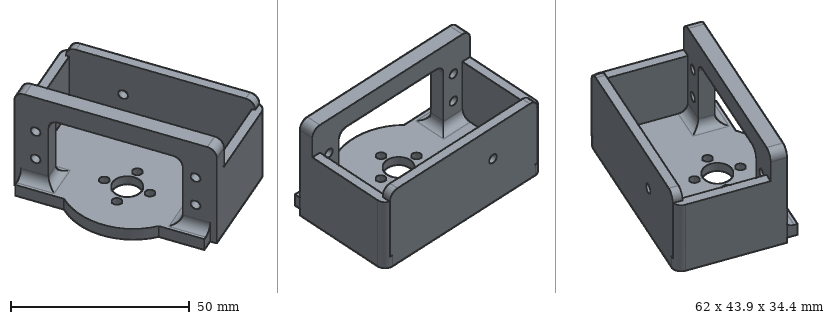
import cadquery as cq
import math

width = 62.0
depth = 34.0
wall = 3.0
floor_thickness = 4.0
side_height = 24.3
corner_radius = 3.0
inner_width = width - 2 * wall

frame_thickness = 5.0
frame_height = 34.4
window_width = 41.1
window_top = 27.6
screw_x = 24.5
screw_heights = (11.95, 21.95)

back_height = 27.5
back_tab_width = 58.0
back_hole_x = -11.5
back_hole_z = 16.0

lip_width = back_tab_width
lip_reach = 4.0
nose_reach = 9.85
nose_x = 0.5
nose_half_chord = 14.5

hub_y = 8.0
hub_diameter = 9.0
bolt_circle_radius = 7.0
recess_diameter = 21.0
recess_depth = 1.0
small_hole_diameter = 3.0


def box(x_min, x_max, y_min, y_max, z_min, z_max):
    size = (x_max - x_min, y_max - y_min, z_max - z_min)
    return cq.Workplane("XY").box(*size, centered=False).translate((x_min, y_min, z_min))


def centered_box(x_size, y_min, y_max, z_min, z_max):
    return box(-x_size / 2, x_size / 2, y_min, y_max, z_min, z_max)


def hole_along_y(x, z, y_min, y_max):
    hole = cq.Workplane("XZ").center(x, z).circle(small_hole_diameter / 2).extrude(y_min - y_max)
    return hole.translate((0, y_min, 0))


def flared_profile(plane, low, high):
    """Foot cross-section that flares outward to the floor on both sides."""
    r = corner_radius
    diagonal = r * (1 - math.sqrt(0.5))
    base = floor_thickness
    return (
        cq.Workplane(plane)
        .moveTo(low - r, 0)
        .lineTo(low - r, base)
        .threePointArc((low - diagonal, base + diagonal), (low, base + r))
        .lineTo(high, base + r)
        .threePointArc((high + diagonal, base + diagonal), (high + r, base))
        .lineTo(high + r, 0)
        .close()
    )


def make_tray():
    tray = centered_box(width, 0, depth, 0, side_height).edges("|Z and >Y").fillet(corner_radius)
    cavity = centered_box(inner_width, 0, depth - wall, floor_thickness, side_height)
    return tray.cut(cavity)


def make_back_wall():
    tab = centered_box(back_tab_width, depth - wall, depth, floor_thickness, back_height)
    tab = tab.edges("|Y and >Z").fillet(corner_radius)
    fillet = flared_profile("YZ", depth - wall, depth - wall + corner_radius)
    fillet = fillet.extrude(inner_width / 2, both=True)
    limit = centered_box(inner_width, 0, depth - wall, 0, side_height)
    return tab.union(fillet.intersect(limit))


def make_frame():
    frame = centered_box(width, 0, frame_thickness, 0, frame_height)
    frame = frame.edges("|Y and >Z").fillet(corner_radius)
    window = centered_box(window_width, 0, frame_thickness, floor_thickness, window_top)
    frame = frame.cut(window.edges("|Y and >Z").fillet(corner_radius))
    for side in (-1, 1):
        for z in screw_heights:
            frame = frame.cut(hole_along_y(side * screw_x, z, 0, frame_thickness))
    return frame


def make_post_feet():
    """Concave fillets round both frame posts, mitred at the post corners."""
    across = flared_profile("YZ", 0, frame_thickness).extrude(width / 2, both=True)
    along = flared_profile("XZ", -width, -window_width / 2).extrude(depth, both=True)
    left_foot = across.intersect(along)
    left_foot = left_foot.intersect(centered_box(lip_width, -depth, depth, 0, frame_height))
    return left_foot.union(left_foot.mirror("YZ"))


def make_lip():
    bar = centered_box(lip_width, -lip_reach, 0, 0, floor_thickness)
    nose = (
        cq.Workplane("XY")
        .moveTo(nose_x - nose_half_chord, -lip_reach)
        .threePointArc((nose_x, -nose_reach), (nose_x + nose_half_chord, -lip_reach))
        .close()
        .extrude(floor_thickness)
    )
    return bar.union(nose)


def make_floor_holes():
    hub = cq.Workplane("XY").center(0, hub_y).circle(hub_diameter / 2).extrude(floor_thickness)
    bolts = (
        cq.Workplane("XY")
        .center(0, hub_y)
        .polarArray(bolt_circle_radius, 0, 360, 4)
        .circle(small_hole_diameter / 2)
        .extrude(floor_thickness)
    )
    recess = cq.Workplane("XY").center(0, hub_y).circle(recess_diameter / 2).extrude(recess_depth)
    return hub.union(bolts).union(recess)


result = (
    make_tray()
    .union(make_back_wall())
    .union(make_frame())
    .union(make_post_feet())
    .union(make_lip())
    .cut(make_floor_holes())
    .cut(hole_along_y(back_hole_x, back_hole_z, depth - wall, depth))
)